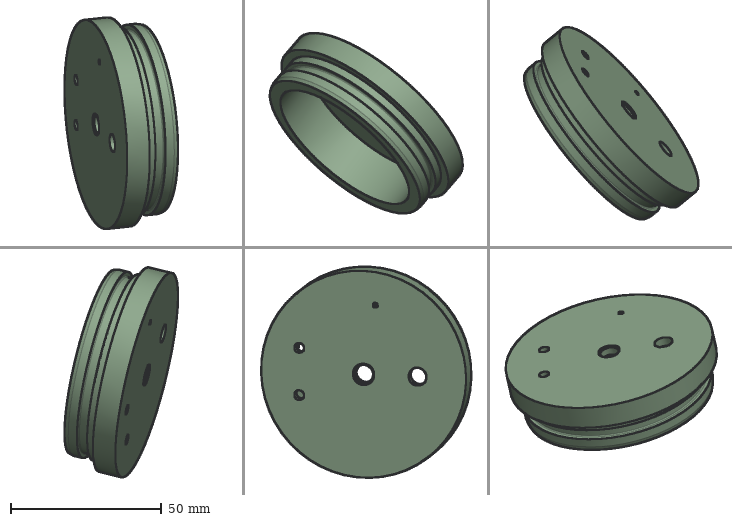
import cadquery as cq
import math

flange_diameter = 70.0
flange_thickness = 7.85
total_depth = 18.8
spigot_diameter = 63.8

groove_floor_diameter = 60.3
groove_start = 10.8
groove_width = 3.6
groove_corner_radius = 0.35

taper_length = 1.5
taper_angle = 15.0

recess_diameter = 54.0
web_thickness = 3.2

center_hole_diameter = 6.2
center_chamfer = 0.5
side_hole_diameter = 6.0
side_hole_position = (18.4, 0)
pair_hole_diameter = 3.3
pair_hole_x = -22.0
pair_hole_spacing = 15.95
vent_diameter = 0.8
vent_counterbore_diameter = 1.6
vent_counterbore_depth = web_thickness / 2
vent_position = (4.0, 23.5)


def cylinder(diameter, start, length, position=(0, 0)):
    """Cylinder along +Y, starting at depth `start` and centred on (x, z)."""
    x, z = position
    return cq.Workplane(cq.Solid.makeCylinder(
        diameter / 2, length, cq.Vector(x, start, z), cq.Vector(0, 1, 0)))


def make_body():
    flange = cylinder(flange_diameter, 0, flange_thickness)
    spigot = cylinder(spigot_diameter, flange_thickness, total_depth - flange_thickness)
    taper_inset = taper_length * math.tan(math.radians(taper_angle))
    spigot = spigot.faces(">Y").chamfer(taper_length, taper_inset)
    return flange.union(spigot)


def make_groove_ring():
    """Ring to remove, with rounded edges where the groove floor meets its walls."""
    core = cylinder(groove_floor_diameter, groove_start, groove_width)
    ring = cylinder(flange_diameter, groove_start, groove_width).cut(core)
    floor_edges = cq.selectors.RadiusNthSelector(0)
    return ring.edges("%CIRCLE").edges(floor_edges).fillet(groove_corner_radius)


def through_hole(diameter, position=(0, 0)):
    return cylinder(diameter, 0, total_depth, position)


def make_center_chamfer():
    hole_radius = center_hole_diameter / 2
    return cq.Workplane(cq.Solid.makeCone(
        hole_radius + center_chamfer, hole_radius, center_chamfer,
        cq.Vector(0, 0, 0), cq.Vector(0, 1, 0)))


result = make_body().cut(make_groove_ring())
result = result.cut(cylinder(recess_diameter, web_thickness, total_depth - web_thickness))

result = result.cut(through_hole(center_hole_diameter)).cut(make_center_chamfer())
result = result.cut(through_hole(side_hole_diameter, side_hole_position))

for side in (-1, 1):
    result = result.cut(through_hole(pair_hole_diameter, (pair_hole_x, side * pair_hole_spacing / 2)))

result = result.cut(through_hole(vent_diameter, vent_position))
result = result.cut(cylinder(vent_counterbore_diameter, 0, vent_counterbore_depth, vent_position))